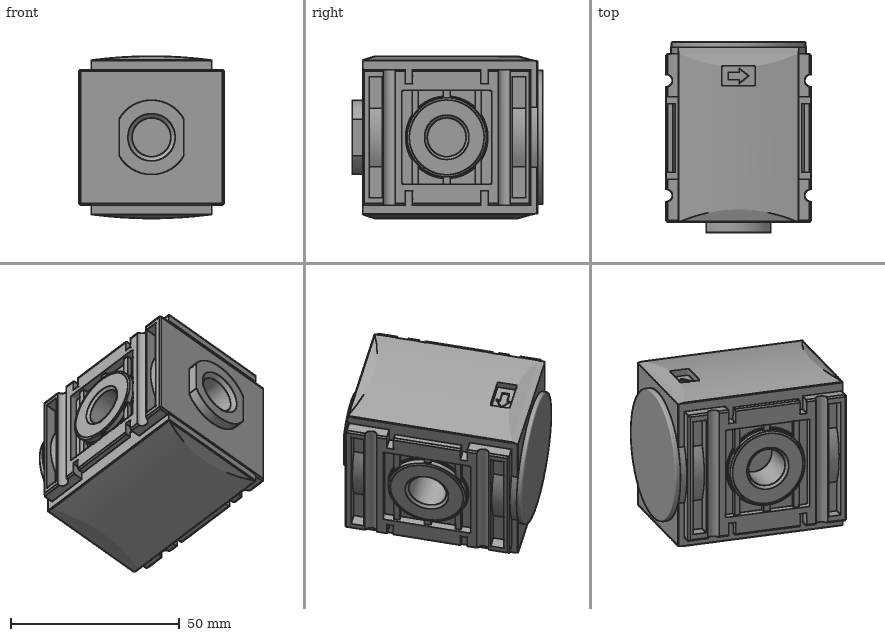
import cadquery as cq

BODY_X = 43.0
BODY_Y = 49.85
BODY_Z = 40.1
BODY_CHAMFER = 0.5
FRONT_Y = -BODY_Y / 2
SIDE_X = BODY_X / 2
TOP_Z = BODY_Z / 2

CORE_HALF = 17.9
CORE_D = 39.8

COVER_BACK_Y = 26.9
COVER_BACK_Z = 22.55
CROWN_BACK_Y = 24.9
CROWN_FOOT_Z = 22.95
CROWN_Z = 24.05
CROWN_SIDE_Z = 22.9
CROWN_FLAT_FRONT_Y = -21.15
CROWN_FLAT_BACK_Y = 20.95
COVER_EDGE = 0.2

DISC_D = 40.0
DISC_BACK_Y = 28.5
CAP_ROUND = 0.45

NIPPLE_END_Y = -28.0
NIPPLE_D = 22.05
NIPPLE_FLATS = 19.2
BORE_D = 11.45
BORE_DEPTH = 12.45
FRONT_MOUTH_D = 14.0

GAUGE_D = 23.5
GAUGE_BEVEL_X = 0.2
GAUGE_BEVEL_R = 0.7
GAUGE_BASE_D = 24.4
GAUGE_BASE_STEP = 0.45
GAUGE_MOUTH_D = 13.15
POCKET_Y = 26.55
POCKET_Z = 27.8
POCKET_DEPTH = 2.3
POCKET_CORNER = 0.5
RIB_RECESS = 0.8
RIB_Y = 9.3
RIB_WIDTH = 1.7
MIDDLE_RIB_WIDTH = 2.05

WINDOW_HEIGHT = 2 * CORE_HALF
REAR_WINDOW = (19.4, 23.45)
FRONT_WINDOW = (-23.0, -19.15)
GROOVE_Y = 17.0
GROOVE_D = 3.6
GROOVE_DEPTH = 1.85

NOTCH_Y = 11.2
NOTCH_WIDTH = 2.1
NOTCH_FLOOR_Z = 15.9
BAR_THICKNESS = 2.0
BAR_FOOT = 0.75
BAR_FOOT_HEIGHT = 2.25

LABEL_X = 9.95
LABEL_Y = 5.9
LABEL_CENTRE_Y = 18.4
LABEL_FLOOR_Z = 21.9
LABEL_CORNER = 0.4
ARROW_DEPTH = 0.5
ARROW_TAIL_X = -3.0
ARROW_NECK_X = 0.15
ARROW_TIP_X = 3.0
ARROW_SHAFT_HALF = 1.1
ARROW_HEAD_HALF = 2.25


def box(x_range, y_range, z_range):
    """Axis-aligned box between the given (lower, upper) limits."""
    (x0, x1), (y0, y1), (z0, z1) = x_range, y_range, z_range
    block = cq.Workplane("XY").box(x1 - x0, y1 - y0, z1 - z0, centered=False)
    return block.translate((x0, y0, z0))


def cylinder_y(diameter, y0, y1):
    """Cylinder along Y from y0 to y1 (y1 > y0)."""
    return cq.Workplane("XZ", origin=(0, y0, 0)).circle(diameter / 2).extrude(y0 - y1)


def bore(diameter, mouth_diameter, depth):
    """Blind hole along +Z from the XY plane, with a 45 degree countersink."""
    radius = diameter / 2
    mouth_radius = mouth_diameter / 2
    return (
        cq.Workplane("XZ")
        .polyline([
            (0, 0),
            (mouth_radius, 0),
            (radius, mouth_radius - radius),
            (radius, depth),
            (0, depth),
        ])
        .close()
        .revolve(360, (0, 0, 0), (0, 1, 0))
    )


def both_sides(feature):
    """The feature together with its mirror image across X = 0."""
    return feature.union(feature.mirror("YZ"))


def side_windows():
    """Pockets at both ends of a side, down to the core."""
    cuts = cq.Workplane("XY")
    for y_range in (REAR_WINDOW, FRONT_WINDOW):
        cuts = cuts.union(
            box((-SIDE_X, -CORE_HALF), y_range, (-WINDOW_HEIGHT / 2, WINDOW_HEIGHT / 2))
        )
    return cuts


def side_grooves():
    """Round vertical bolt grooves along a side."""
    return (
        cq.Workplane("XY", origin=(-SIDE_X + GROOVE_DEPTH - GROOVE_D / 2, 0, -TOP_Z))
        .pushPoints([(0, -GROOVE_Y), (0, GROOVE_Y)])
        .circle(GROOVE_D / 2)
        .extrude(BODY_Z)
    )


def side_notches():
    """Clamp notches, and the slot behind the bar that joins each pair."""
    top = cq.Workplane("XY")
    for y in (-NOTCH_Y, NOTCH_Y):
        y_range = (y - NOTCH_WIDTH / 2, y + NOTCH_WIDTH / 2)
        top = top.union(box((-SIDE_X, -CORE_HALF), y_range, (NOTCH_FLOOR_Z, TOP_Z)))
    bar_inner_x = -SIDE_X + BAR_THICKNESS
    slot = (
        cq.Workplane("XZ", origin=(0, NOTCH_Y, 0))
        .polyline([
            (bar_inner_x, TOP_Z),
            (bar_inner_x, NOTCH_FLOOR_Z + BAR_FOOT_HEIGHT),
            (bar_inner_x + BAR_FOOT, NOTCH_FLOOR_Z),
            (-CORE_HALF, NOTCH_FLOOR_Z),
            (-CORE_HALF, TOP_Z),
        ])
        .close()
        .extrude(2 * NOTCH_Y)
    )
    top = top.union(slot)
    return top.union(top.mirror("XY"))


def gauge_pocket():
    """Rectangular pocket in the side, leaving three recessed vertical ribs."""
    floor_x = -SIDE_X + POCKET_DEPTH
    pocket = (
        cq.Workplane("XY")
        .box(POCKET_DEPTH, POCKET_Y, POCKET_Z)
        .edges("|X")
        .fillet(POCKET_CORNER)
        .translate((floor_x - POCKET_DEPTH / 2, 0, 0))
    )
    ribs = ((-RIB_Y, RIB_WIDTH), (0, MIDDLE_RIB_WIDTH), (RIB_Y, RIB_WIDTH))
    for y, width in ribs:
        pocket = pocket.cut(
            box(
                (-SIDE_X + RIB_RECESS, floor_x),
                (y - width / 2, y + width / 2),
                (-POCKET_Z / 2, POCKET_Z / 2),
            )
        )
    return pocket


def gauge_boss():
    """Round boss flush with the side, bevelled at the rim, on a wider foot."""
    side = cq.Workplane("YZ", origin=(-SIDE_X, 0, 0))
    boss = side.circle(GAUGE_D / 2).extrude(POCKET_DEPTH)
    boss = boss.faces("<X").chamfer(GAUGE_BEVEL_X, GAUGE_BEVEL_R)
    foot = (
        cq.Workplane("YZ", origin=(-SIDE_X + POCKET_DEPTH, 0, 0))
        .circle(GAUGE_BASE_D / 2)
        .extrude(-GAUGE_BASE_STEP)
    )
    return boss.union(foot)


def cover():
    """Crowned slab on the core with sloping ends and a lip over the back."""
    section = (
        cq.Workplane("XZ", origin=(0, COVER_BACK_Y, 0))
        .moveTo(-CORE_HALF, 0)
        .lineTo(-CORE_HALF, CROWN_SIDE_Z - COVER_EDGE)
        .lineTo(-CORE_HALF + COVER_EDGE, CROWN_SIDE_Z)
        .threePointArc((0, CROWN_Z), (CORE_HALF - COVER_EDGE, CROWN_SIDE_Z))
        .lineTo(CORE_HALF, CROWN_SIDE_Z - COVER_EDGE)
        .lineTo(CORE_HALF, 0)
        .close()
        .extrude(COVER_BACK_Y - FRONT_Y)
        .edges(">Y and |Z")
        .chamfer(COVER_EDGE)
    )
    profile = (
        cq.Workplane("YZ", origin=(-CORE_HALF, 0, 0))
        .polyline([
            (FRONT_Y, TOP_Z),
            (FRONT_Y, CROWN_FOOT_Z - COVER_EDGE),
            (FRONT_Y + COVER_EDGE, CROWN_FOOT_Z),
            (CROWN_FLAT_FRONT_Y, CROWN_Z),
            (CROWN_FLAT_BACK_Y, CROWN_Z),
            (CROWN_BACK_Y, CROWN_FOOT_Z),
            (COVER_BACK_Y, COVER_BACK_Z),
            (COVER_BACK_Y, 0),
            (BODY_Y / 2, 0),
            (BODY_Y / 2, TOP_Z),
        ])
        .close()
        .extrude(2 * CORE_HALF)
    )
    return section.intersect(profile)


def label():
    """Label recess with an arrow sunk into its floor, pointing along +X."""
    recess = (
        cq.Workplane("XY", origin=(0, LABEL_CENTRE_Y, LABEL_FLOOR_Z))
        .rect(LABEL_X, LABEL_Y)
        .extrude(CROWN_Z - LABEL_FLOOR_Z)
        .edges("|Z")
        .fillet(LABEL_CORNER)
    )
    arrow = (
        cq.Workplane("XY", origin=(0, LABEL_CENTRE_Y, LABEL_FLOOR_Z))
        .polyline([
            (ARROW_TAIL_X, -ARROW_SHAFT_HALF),
            (ARROW_NECK_X, -ARROW_SHAFT_HALF),
            (ARROW_NECK_X, -ARROW_HEAD_HALF),
            (ARROW_TIP_X, 0),
            (ARROW_NECK_X, ARROW_HEAD_HALF),
            (ARROW_NECK_X, ARROW_SHAFT_HALF),
            (ARROW_TAIL_X, ARROW_SHAFT_HALF),
        ])
        .close()
        .extrude(-ARROW_DEPTH)
    )
    return recess.union(arrow)


def rear_disc():
    """Round disc on the back of the body, with a slightly smaller cap rounded at its rim."""
    disc = cylinder_y(DISC_D, BODY_Y / 2, COVER_BACK_Y)
    cap = cylinder_y(CORE_D, COVER_BACK_Y, DISC_BACK_Y)
    return disc.union(cap.faces(">Y").edges().fillet(CAP_ROUND))


def front_nipple():
    """Round stub with two wrench flats."""
    flats = cq.Workplane("XY").box(NIPPLE_FLATS, 2 * BODY_Y, NIPPLE_D)
    return cylinder_y(NIPPLE_D, NIPPLE_END_Y, FRONT_Y).intersect(flats)


body = cq.Workplane("XY").box(BODY_X, BODY_Y, BODY_Z)
body = body.edges("|Y or |Z or <Y").chamfer(BODY_CHAMFER)
body = body.cut(both_sides(side_windows()))
body = body.cut(both_sides(side_notches()))
body = body.union(cylinder_y(CORE_D, FRONT_Y + BODY_CHAMFER, BODY_Y / 2))
body = body.cut(both_sides(side_grooves()))

body = body.cut(both_sides(gauge_pocket()))
body = body.union(both_sides(gauge_boss()))

top_cover = cover()
body = body.union(top_cover.cut(label()))
body = body.union(top_cover.mirror("XY"))
body = body.union(rear_disc())
body = body.union(front_nipple())

front_bore = (
    bore(BORE_D, FRONT_MOUTH_D, BORE_DEPTH)
    .rotate((0, 0, 0), (1, 0, 0), -90)
    .translate((0, NIPPLE_END_Y, 0))
)
gauge_bore = (
    bore(BORE_D, GAUGE_MOUTH_D, BORE_DEPTH)
    .rotate((0, 0, 0), (0, 1, 0), 90)
    .translate((-SIDE_X, 0, 0))
)
result = body.cut(front_bore).cut(both_sides(gauge_bore))